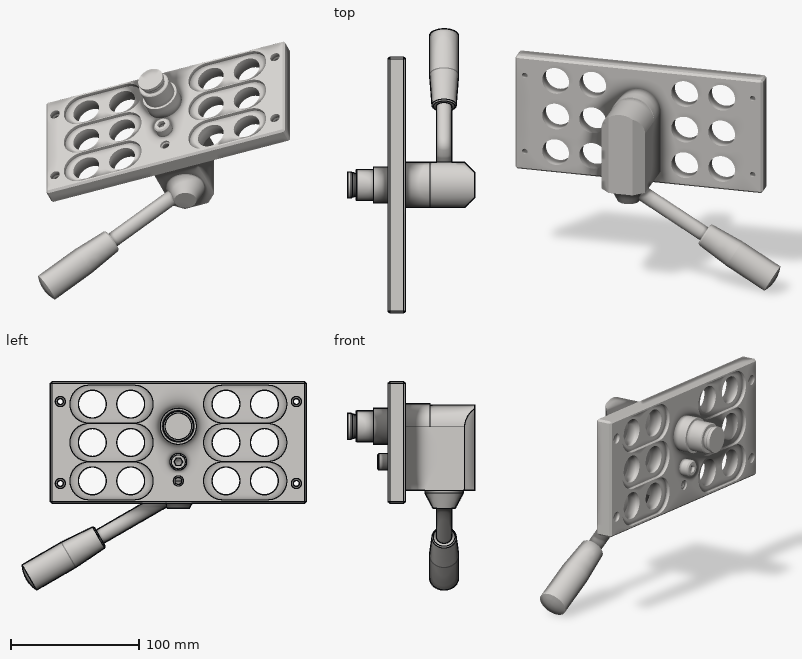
import cadquery as cq
import math


plate_thickness = 14.0
plate_length = 200.0
plate_height = 95.0
plate_chamfer = 1.5

hole_pitch = 30.0
hole_diameter = 21.5
pair_offset = 52.1
recess_length = 65.0
recess_height = 29.5
recess_depth = 3.0

mount_y = 92.0
mount_z = 32.0
mount_diameter = 4.5
mount_head_diameter = 8.0
mount_head_depth = 4.5

pin_hole_z = -hole_pitch
pin_hole_diameter = 5.5
pin_floor_depth = 4.0
pin_hole_depth = 6.7
pin_counterbore_diameter = 8.0
pin_counterbore_depth = 1.8

screw_z = -15.0
screw_diameter = 13.0
screw_height = 8.0
screw_chamfer = 1.0
socket_across_flats = 6.0
socket_depth = 4.0
socket_cone_depth = 1.8

axis_z = 12.6
collar_diameter = 28.2
collar_end = 11.3
barrel_diameter = 24.5
barrel_end = 24.9
barrel_chamfer = 0.7
neck_diameter = 18.2
neck_end = 26.2
shoulder_diameter = 19.0
shoulder_end = 27.5
head_diameter = 20.6
head_start = 28.8
head_end = 31.3

housing_width = 35.5
housing_bottom = axis_z - 50.0
housing_step = 33.0
housing_rear = 68.0
housing_chamfer = 8.0
rear_crown_rise = 16.6

hub_x = 44.0
hub_top_diameter = 30.0
hub_bottom_diameter = 17.3
hub_rim_height = 2.2
hub_height = 14.2

lever_z = -38.2
lever_slope = 30
rod_diameter = 12.0
grip_start = 70.8
grip_chamfer = 1.0
grip_end_diameter = 19.0
grip_diameter = 22.9
grip_taper_end = 99.0
grip_corner = 134.3
grip_tip = 137.0


def x_cylinder(x_start, x_end, diameter, y, z):
    """Cylinder along X between two X positions."""
    base = cq.Workplane("YZ", origin=(x_start, y, z))
    return base.circle(diameter / 2).extrude(x_end - x_start)


def counterbored_cutter(y, z, diameter, depth, head_diameter, head_depth):
    """Hole with a wider mouth, cut from the front face of the plate."""
    hole = x_cylinder(0, depth, diameter, y, z)
    return hole.union(x_cylinder(0, head_depth, head_diameter, y, z))


def make_pin_hole_cutter():
    """Counterbored blind hole: flat floor in the lower half, sloping floor in the upper half."""
    cutter = counterbored_cutter(
        0, pin_hole_z, pin_hole_diameter, pin_hole_depth,
        pin_counterbore_diameter, pin_counterbore_depth,
    )
    reach = pin_counterbore_diameter / 2
    pin_hole_radius = pin_hole_diameter / 2
    envelope = (
        cq.Workplane("XZ", origin=(0, 0, pin_hole_z))
        .moveTo(0, -reach)
        .lineTo(pin_floor_depth, -reach)
        .lineTo(pin_floor_depth, 0)
        .lineTo(pin_hole_depth, pin_hole_radius)
        .lineTo(pin_hole_depth, reach)
        .lineTo(0, reach)
        .close()
        .extrude(reach, both=True)
    )
    return cutter.intersect(envelope)


def make_plate():
    """Chamfered plate with paired holes in recesses, mounting holes and the pin hole."""
    plate = cq.Workplane("XY").box(
        plate_thickness, plate_length, plate_height, centered=(False, True, True)
    )
    plate = plate.edges().chamfer(plate_chamfer)

    for side in (-1, 1):
        for row in (-1, 0, 1):
            z = row * hole_pitch
            recess = (
                cq.Workplane("YZ")
                .center(side * pair_offset, z)
                .slot2D(recess_length, recess_height)
                .extrude(recess_depth)
            )
            plate = plate.cut(recess)
            for half in (-0.5, 0.5):
                y = side * pair_offset + half * hole_pitch
                plate = plate.cut(x_cylinder(0, plate_thickness, hole_diameter, y, z))

        for end in (-1, 1):
            plate = plate.cut(
                counterbored_cutter(
                    side * mount_y, end * mount_z, mount_diameter, plate_thickness,
                    mount_head_diameter, mount_head_depth,
                )
            )

    return plate.cut(make_pin_hole_cutter())


def make_screw():
    """Cylindrical head with a hexagonal socket that ends in a cone."""
    head = x_cylinder(-screw_height, 0, screw_diameter, 0, screw_z)
    head = head.faces("<X").chamfer(screw_chamfer)
    corner_diameter = socket_across_flats / math.cos(math.pi / 6)
    socket = (
        cq.Workplane("YZ", origin=(-screw_height, 0, screw_z))
        .polygon(6, corner_diameter)
        .extrude(socket_depth)
    )
    cone = cq.Solid.makeCone(
        socket_across_flats / 2, 0, socket_cone_depth,
        pnt=cq.Vector(-screw_height + socket_depth, 0, screw_z), dir=cq.Vector(1, 0, 0),
    )
    return head.cut(socket).cut(cq.Workplane(cone))


def make_plunger():
    """Stepped plunger turned about the X axis."""
    profile = (
        cq.Workplane("XY", origin=(0, 0, axis_z))
        .moveTo(0, 0)
        .lineTo(0, collar_diameter / 2)
        .lineTo(-collar_end, collar_diameter / 2)
        .lineTo(-collar_end, barrel_diameter / 2)
        .lineTo(-barrel_end + barrel_chamfer, barrel_diameter / 2)
        .lineTo(-barrel_end, barrel_diameter / 2 - barrel_chamfer)
        .lineTo(-barrel_end, neck_diameter / 2)
        .lineTo(-neck_end, neck_diameter / 2)
        .lineTo(-neck_end, shoulder_diameter / 2)
        .lineTo(-shoulder_end, shoulder_diameter / 2)
        .lineTo(-head_start, head_diameter / 2)
        .lineTo(-head_end, head_diameter / 2)
        .lineTo(-head_end, 0)
        .close()
    )
    return profile.revolve(360, (0, 0, 0), (1, 0, 0))


def arched_block(x_start, x_end, crown_rise):
    """Straight-sided block whose top is an arc spanning the full width."""
    half_width = housing_width / 2
    return (
        cq.Workplane("YZ", origin=(x_start, 0, 0))
        .moveTo(-half_width, housing_bottom)
        .lineTo(-half_width, axis_z)
        .threePointArc((0, axis_z + crown_rise), (half_width, axis_z))
        .lineTo(half_width, housing_bottom)
        .close()
        .extrude(x_end - x_start)
    )


def make_housing():
    """Two arched blocks; the rear one has its upright rear corners chamfered."""
    half_width = housing_width / 2
    front = arched_block(plate_thickness, housing_step, half_width)
    rear = arched_block(housing_step, housing_rear, rear_crown_rise)
    envelope = (
        cq.Workplane("XY", origin=(0, 0, housing_bottom))
        .moveTo(housing_step, -half_width)
        .lineTo(housing_rear - housing_chamfer, -half_width)
        .lineTo(housing_rear, -half_width + housing_chamfer)
        .lineTo(housing_rear, half_width - housing_chamfer)
        .lineTo(housing_rear - housing_chamfer, half_width)
        .lineTo(housing_step, half_width)
        .close()
        .extrude(axis_z + half_width - housing_bottom)
    )
    return front.union(rear.intersect(envelope))


def make_hub():
    """Rimmed cone hanging from the housing, turned about Z."""
    profile = (
        cq.Workplane("XZ", origin=(hub_x, 0, housing_bottom))
        .moveTo(0, 0)
        .lineTo(hub_top_diameter / 2, 0)
        .lineTo(hub_top_diameter / 2, -hub_rim_height)
        .lineTo(hub_bottom_diameter / 2, -hub_height)
        .lineTo(0, -hub_height)
        .close()
    )
    return profile.revolve(360, (0, 0, 0), (0, 1, 0))


def make_lever():
    """Rod and grip turned about the lever axis, which slopes down toward +Y."""
    slope = math.radians(lever_slope)
    lever_plane = cq.Plane(
        origin=(hub_x, 0, lever_z),
        xDir=(0, math.cos(slope), -math.sin(slope)),
        normal=(1, 0, 0),
    )
    grip_radius = grip_diameter / 2

    dome_rise = grip_tip - grip_corner
    dome_radius = (grip_radius**2 + dome_rise**2) / (2 * dome_rise)
    half_angle = math.asin(grip_radius / dome_radius) / 2
    dome_middle = (
        grip_tip - dome_radius * (1 - math.cos(half_angle)),
        dome_radius * math.sin(half_angle),
    )

    profile = (
        cq.Workplane(lever_plane)
        .moveTo(0, 0)
        .lineTo(0, rod_diameter / 2)
        .lineTo(grip_start, rod_diameter / 2)
        .lineTo(grip_start, grip_end_diameter / 2 - grip_chamfer)
        .lineTo(grip_start + grip_chamfer, grip_end_diameter / 2)
        .lineTo(grip_taper_end, grip_radius)
        .lineTo(grip_corner, grip_radius)
        .threePointArc(dome_middle, (grip_tip, 0))
        .close()
    )
    return profile.revolve(360, (0, 0, 0), (1, 0, 0))


result = (
    make_plate()
    .union(make_plunger())
    .union(make_screw())
    .union(make_housing())
    .union(make_hub())
    .union(make_lever())
)